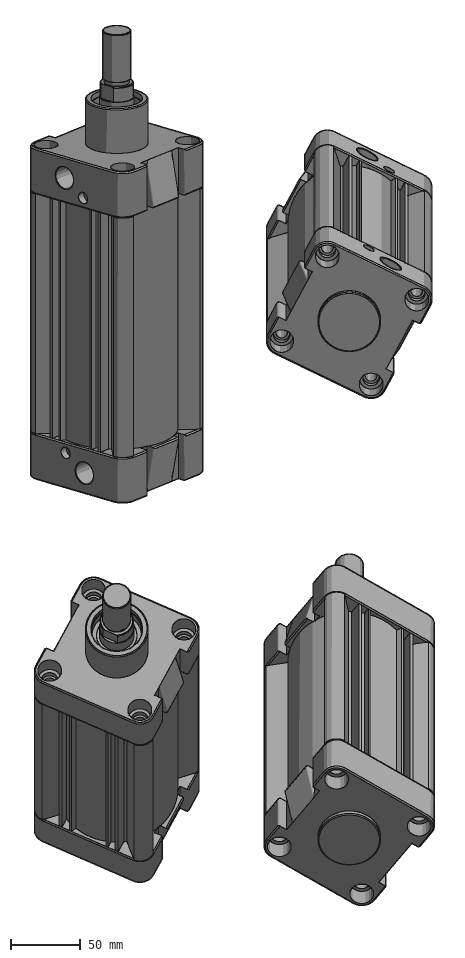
import cadquery as cq
import math


head_height = 35.0
tube_length = 183.0
upper_head_base = head_height + tube_length
upper_head_top = upper_head_base + head_height
lower_boss_height = 4.0
collar_height = 34.0
collar_top = upper_head_top + collar_height
overall_length = 343.0
rod_end = overall_length - lower_boss_height

head_width = 94.0
half_width = head_width / 2
corner_center = 36.0
corner_radius = half_width - corner_center
head_chamfer = 1.0

recess_floor = 40.3
recess_half_width = 20.7
recess_edge_radius = 1.5
recess_depth = half_width - recess_floor
pad_half_width = 14.0
pad_edge_radius = 1.2
pad_overlap = 1.0
edge_margin = 0.1

screw_hole_diameter = 8.5
socket_diameter = 12.0
socket_depth = 20.0
counterbore_diameter = 17.0
counterbore_depth = 15.0

port_diameter = 16.5
port_chamfer = 0.4
port_offset = 9.4
port_inset = 16.0
cushion_screw_diameter = 8.5
cushion_screw_depth = 6.0
cushion_screw_offset = 8.2
cushion_screw_inset = 27.2
cushion_needle_diameter = 4.5
cushion_needle_depth = 12.0
upper_chamber_radius = 20.0
lower_chamber_radius = 18.0
chamber_height = 22.0

barrel_radius = 44.0
post_edge = 36.7
valley_reach = 25.5
valley_floor = post_edge - valley_reach - half_width
rail_inner_foot = 12.0
rail_inner_top = 13.8
slot_inner = 15.4
slot_outer = 21.2
rail_outer = 23.6
rail_root_radius = 2.0
rail_face = 46.0
slot_floor = 38.0

boss_radius = 22.5
boss_chamfer = 0.8
collar_bore_radius = 18.4
collar_bore_depth = 4.0
collar_groove_radius = 17.8
collar_groove_depth = 11.5
wiper_radius = 14.5
wiper_height = 1.0
rod_radius = 12.5
thread_end_length = 39.5
rod_shoulder = rod_end - thread_end_length
wrench_length = 11.2
flat_half_width = 10.5
wrench_radius = 12.0
wrench_chamfer = 0.6
neck_radius = 9.3
neck_length = 3.0
thread_radius = 10.2
thread_chamfer = 0.6


def cylinder(radius, base, height, x=0.0, y=0.0):
    """Vertical cylinder standing on the height `base`."""
    return cq.Workplane("XY", origin=(x, y, base)).circle(radius).extrude(height)


def square_prism(base, height):
    """Square block with rounded upright corners."""
    block = cq.Workplane("XY", origin=(0, 0, base)).rect(head_width, head_width).extrude(height)
    return block.edges("|Z").fillet(corner_radius)


def cut_side_recess(body, side, base):
    """Cut the middle of the -X or +X face of a head and round the two upright mouth edges."""
    recess = (
        cq.Workplane("XY", origin=(side * (recess_floor + recess_depth / 2), 0, base))
        .rect(recess_depth, 2 * recess_half_width)
        .extrude(head_height)
    )
    mouth = cq.selectors.BoxSelector(
        (side * (half_width - edge_margin), -recess_half_width - edge_margin, base),
        (side * (half_width + edge_margin), recess_half_width + edge_margin, base + head_height),
    )
    return body.cut(recess).edges("|Z").edges(mouth).fillet(recess_edge_radius)


def sloped_pad(side, tube_end, outer_end):
    """Wedge in a side recess, flush with the head next to the tube and fading out at the far end."""
    chamfer_step = math.copysign(head_chamfer, outer_end - tube_end)
    wedge = (
        cq.Workplane("XZ", origin=(0, pad_half_width, 0))
        .moveTo(side * (recess_floor - pad_overlap), tube_end)
        .lineTo(side * (half_width - head_chamfer), tube_end)
        .lineTo(side * half_width, tube_end + chamfer_step)
        .lineTo(side * recess_floor, outer_end)
        .lineTo(side * (recess_floor - pad_overlap), outer_end)
        .close()
        .extrude(2 * pad_half_width)
    )
    sloped_edges = cq.selectors.BoxSelector(
        (side * (recess_floor + edge_margin), -half_width, tube_end + 2 * chamfer_step),
        (side * half_width, half_width, outer_end - 2 * chamfer_step),
    )
    return wedge.edges(sloped_edges).fillet(pad_edge_radius)


def port_tool(diameter, depth, x, z):
    """Round cutter entering the -Y face."""
    return cq.Workplane("XZ", origin=(x, -half_width, z)).circle(diameter / 2).extrude(-depth)


def port_countersink(x, z):
    """Short cone that widens the mouth of an air port."""
    mouth_radius = port_diameter / 2 + port_chamfer
    cone = cq.Solid.makeCone(
        mouth_radius, port_diameter / 2, port_chamfer,
        pnt=cq.Vector(x, -half_width, z), dir=cq.Vector(0, 1, 0),
    )
    return cq.Workplane(cone)


def cut_screw_holes(body, diameter, base, height):
    """Cut the four upright corner holes over one stretch of height."""
    for x in (-corner_center, corner_center):
        for y in (-corner_center, corner_center):
            body = body.cut(cylinder(diameter / 2, base, height, x, y))
    return body


def head(base, inward, chamber_radius):
    """Cylinder head; `inward` is +1 if the tube lies above it and -1 if it lies below."""
    tube_end = base + head_height if inward > 0 else base
    outer_end = base if inward > 0 else base + head_height
    port_x = inward * port_offset
    port_z = outer_end + inward * port_inset

    body = square_prism(base, head_height).faces("<Z or >Z").chamfer(head_chamfer)
    for side in (-1, 1):
        body = cut_side_recess(body, side, base)
        body = body.union(sloped_pad(side, tube_end, outer_end))
    body = cut_screw_holes(body, counterbore_diameter, outer_end, inward * counterbore_depth)
    body = cut_screw_holes(body, socket_diameter, outer_end, inward * socket_depth)
    body = body.cut(cylinder(chamber_radius, port_z - chamber_height / 2, chamber_height))
    body = body.cut(port_tool(port_diameter, half_width, port_x, port_z))
    body = body.cut(port_countersink(port_x, port_z))
    screw_x = -inward * cushion_screw_offset
    screw_z = outer_end + inward * cushion_screw_inset
    return body.cut(port_tool(cushion_screw_diameter, cushion_screw_depth, screw_x, screw_z))


def valley():
    """Cutter that opens the -Y face of the tube between two corner posts."""
    return (
        cq.Workplane("XY", origin=(0, 0, head_height))
        .moveTo(-post_edge, -half_width)
        .lineTo(post_edge, -half_width)
        .lineTo(valley_reach, valley_floor)
        .lineTo(-valley_reach, valley_floor)
        .close()
        .extrude(tube_length)
    )


def rail():
    """Slotted sensor rail on the -Y face of the tube, right of the axis."""
    inner_foot_y = -math.sqrt(barrel_radius**2 - rail_inner_foot**2)
    root_diagonal = rail_root_radius * (1 - math.sqrt(0.5))
    return (
        cq.Workplane("XY", origin=(0, 0, head_height))
        .moveTo(rail_inner_foot, valley_floor)
        .lineTo(rail_inner_foot, inner_foot_y)
        .lineTo(rail_inner_top, -rail_face)
        .lineTo(slot_inner, -rail_face)
        .lineTo(slot_inner, -slot_floor)
        .lineTo(slot_outer, -slot_floor)
        .lineTo(slot_outer, -rail_face)
        .lineTo(rail_outer, -rail_face)
        .lineTo(rail_outer, valley_floor - rail_root_radius)
        .threePointArc(
            (rail_outer + root_diagonal, valley_floor - root_diagonal),
            (rail_outer + rail_root_radius, valley_floor),
        )
        .close()
        .extrude(tube_length)
    )


def tube():
    """Extruded tube: round barrel, four corner posts and sensor rails on the -Y and +Y faces."""
    body = square_prism(head_height, tube_length)
    for quarter in range(4):
        body = body.cut(valley().rotate((0, 0, 0), (0, 0, 1), 90 * quarter))
    body = body.union(cylinder(barrel_radius, head_height, tube_length))
    right_rail = rail()
    left_rail = right_rail.mirror("YZ")
    for rail_body in (right_rail, left_rail):
        body = body.union(rail_body).union(rail_body.mirror("XZ"))
    return body


def collar():
    """Guide collar with a stepped annular groove and a low wiper ring around the rod."""
    groove_base = collar_top - collar_groove_depth
    body = cylinder(boss_radius, upper_head_top, collar_height).faces(">Z").chamfer(boss_chamfer)
    body = body.cut(cylinder(collar_bore_radius, collar_top - collar_bore_depth, collar_bore_depth))
    body = body.cut(cylinder(collar_groove_radius, groove_base, collar_groove_depth))
    return body.union(cylinder(wiper_radius, groove_base, wiper_height))


def rod():
    """Piston rod with two wrench flats, a neck and a plain cylinder for the thread."""
    wrench_base = rod_shoulder - wrench_length
    neck_end = rod_shoulder + neck_length
    shank = cylinder(rod_radius, upper_head_base, wrench_base - upper_head_base)
    wrench = cylinder(wrench_radius, wrench_base, wrench_length).faces(">Z").chamfer(wrench_chamfer)
    for side in (-1, 1):
        flat = (
            cq.Workplane("XY", origin=(0, side * (flat_half_width + wrench_radius / 2), wrench_base))
            .rect(2 * wrench_radius, wrench_radius)
            .extrude(wrench_length)
        )
        wrench = wrench.cut(flat)
    neck = cylinder(neck_radius, rod_shoulder, neck_length)
    thread = cylinder(thread_radius, neck_end, rod_end - neck_end).faces(">Z").chamfer(thread_chamfer)
    return shank.union(wrench).union(neck).union(thread)


lower_boss = cylinder(boss_radius, -lower_boss_height, lower_boss_height).faces("<Z").chamfer(boss_chamfer)

lower_needle_hole = port_tool(
    cushion_needle_diameter, cushion_needle_depth, -cushion_screw_offset, cushion_screw_inset
)

lower_head = head(0, 1, lower_chamber_radius).cut(lower_needle_hole)
upper_head = head(upper_head_base, -1, upper_chamber_radius)

result = lower_head.union(upper_head).union(tube())
result = result.union(lower_boss).union(collar()).union(rod())
result = cut_screw_holes(result, screw_hole_diameter, 0, upper_head_top)